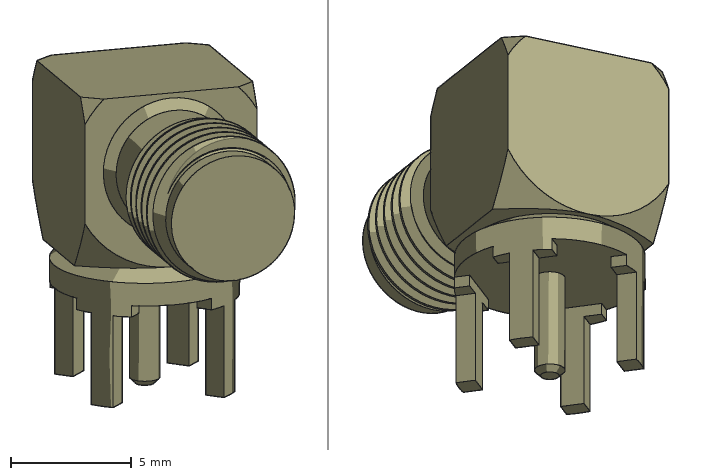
import cadquery as cq
import math


FLANGE_RADIUS = 7.92 / 2
FLANGE_TOP_RADIUS = 3.15
FLANGE_RIM_HEIGHT = 0.98
FLANGE_TAPER_HEIGHT = 0.53

LEG_ANGLES = (45, 135, 225, 315)
LEG_INNER_DISTANCE = 3.08
LEG_WIDTH = 1.02
LEG_LENGTH = 3.96
STANDOFF_WIDTH = 2.56
STANDOFF_HEIGHT = 0.49

PIN_RADIUS = 1.27 / 2
PIN_CHAMFER = 0.25

BODY_LENGTH = 6.97
BODY_WIDTH = 7.52
BODY_HEIGHT = 7.5

THREAD_RADIUS = 6.35 / 2
THREAD_PITCH = 25.4 / 36
THREAD_DEPTH = 0.4
CREST_FLAT = 0.11
FLANK_ANGLE = 30
GROOVE_OVERSHOOT = 0.03
GROOVE_RUNOUT = 0.17
NECK_RADIUS = 5.08 / 2
NOSE_RADIUS = 5.38 / 2
COLLAR_LENGTH = 0.42
BARREL_END_X = 11.69
THREAD_START_X = 6.50
THREAD_END_X = 10.92
CREST_TOP_X = 7.595

FLANGE_BOTTOM_Z = STANDOFF_HEIGHT
FLANGE_RIM_Z = FLANGE_BOTTOM_Z + FLANGE_RIM_HEIGHT
BODY_BOTTOM_Z = FLANGE_RIM_Z + FLANGE_TAPER_HEIGHT
BODY_TOP_Z = BODY_BOTTOM_Z + BODY_HEIGHT
BARREL_Z = BODY_TOP_Z - THREAD_RADIUS
BODY_FACE_X = BODY_LENGTH / 2


def revolve_about_barrel(outline):
    """Revolve (x, radius) points about the barrel axis."""
    profile = cq.Workplane("XZ", origin=(0, 0, BARREL_Z)).polyline(outline).close()
    return profile.revolve(360, (0, 0, 0), (1, 0, 0))


def make_body():
    """Block whose corners are turned off by 45 degree cones about the barrel axis."""
    block = cq.Workplane("XY", origin=(0, 0, BODY_BOTTOM_Z)).box(
        BODY_LENGTH, BODY_WIDTH, BODY_HEIGHT, centered=(True, True, False)
    )
    face_radius = BARREL_Z - BODY_BOTTOM_Z
    middle_radius = face_radius + BODY_FACE_X
    turned_envelope = revolve_about_barrel(
        [
            (-BODY_FACE_X, 0),
            (-BODY_FACE_X, face_radius),
            (0, middle_radius),
            (BODY_FACE_X, face_radius),
            (BODY_FACE_X, 0),
        ]
    )
    return block.intersect(turned_envelope)


def make_flange():
    """Round flange that tapers up to the underside of the body."""
    outline = [
        (0, FLANGE_BOTTOM_Z),
        (FLANGE_RADIUS, FLANGE_BOTTOM_Z),
        (FLANGE_RADIUS, FLANGE_RIM_Z),
        (FLANGE_TOP_RADIUS, BODY_BOTTOM_Z),
        (0, BODY_BOTTOM_Z),
    ]
    return cq.Workplane("XZ").polyline(outline).close().revolve(360, (0, 0, 0), (0, 1, 0))


def make_diagonal_post(angle, width, bottom_z):
    """Post from the flange underside, flat inside and following the flange rim outside."""
    height = FLANGE_BOTTOM_Z - bottom_z
    radial_bar = (
        cq.Workplane("XY", origin=(0, 0, bottom_z))
        .center(LEG_INNER_DISTANCE, 0)
        .box(FLANGE_RADIUS, width, height, centered=(False, True, False))
        .rotate((0, 0, 0), (0, 0, 1), angle)
    )
    rim = cq.Workplane("XY", origin=(0, 0, bottom_z)).circle(FLANGE_RADIUS).extrude(height)
    return radial_bar.intersect(rim)


def make_pin():
    """Centre pin with a chamfered tip, level with the ends of the legs."""
    pin = cq.Workplane("XY", origin=(0, 0, -LEG_LENGTH)).circle(PIN_RADIUS)
    return pin.extrude(LEG_LENGTH + FLANGE_BOTTOM_Z).faces("<Z").chamfer(PIN_CHAMFER)


def make_thread_groove():
    """Right-hand helical groove that runs out past both ends of the threaded length."""
    root_radius = THREAD_RADIUS - THREAD_DEPTH
    outer_radius = THREAD_RADIUS + GROOVE_OVERSHOOT
    flank_slope = math.tan(math.radians(FLANK_ANGLE))
    half_mouth = (THREAD_PITCH - CREST_FLAT) / 2
    half_root = half_mouth - THREAD_DEPTH * flank_slope
    half_outer = half_mouth + GROOVE_OVERSHOOT * flank_slope

    turns_before = math.ceil((CREST_TOP_X - THREAD_START_X) / THREAD_PITCH)
    start_x = CREST_TOP_X - (turns_before + 0.5) * THREAD_PITCH
    length = THREAD_END_X + GROOVE_RUNOUT - start_x

    section = [
        (root_radius, -half_root),
        (outer_radius, -half_outer),
        (outer_radius, half_outer),
        (root_radius, half_root),
    ]
    edges = [
        cq.Wire.makeHelix(THREAD_PITCH, length, radius).translate(cq.Vector(0, 0, offset))
        for radius, offset in section
    ]
    faces = [cq.Face.makeRuledSurface(edges[i - 1], edges[i]) for i in range(len(edges))]
    for end_points in (
        [edge.startPoint() for edge in edges],
        [edge.endPoint() for edge in edges],
    ):
        faces.append(cq.Face.makeFromWires(cq.Wire.makePolygon(end_points, close=True)))
    groove = cq.Workplane(obj=cq.Solid.makeSolid(cq.Shell.makeShell(faces)))

    laid_over = groove.rotate((0, 0, 0), (0, 1, 0), 90).rotate((0, 0, 0), (1, 0, 0), 180)
    return laid_over.translate((start_x, 0, BARREL_Z))


def make_barrel():
    """Neck, threaded length with 45 degree ends, and plain nose."""
    start_chamfer = THREAD_RADIUS - NECK_RADIUS
    end_chamfer = THREAD_RADIUS - NOSE_RADIUS
    barrel = revolve_about_barrel(
        [
            (0, 0),
            (0, NECK_RADIUS + COLLAR_LENGTH),
            (BODY_FACE_X, NECK_RADIUS + COLLAR_LENGTH),
            (BODY_FACE_X + COLLAR_LENGTH, NECK_RADIUS),
            (THREAD_START_X, NECK_RADIUS),
            (THREAD_START_X + start_chamfer, THREAD_RADIUS),
            (THREAD_END_X - end_chamfer, THREAD_RADIUS),
            (THREAD_END_X, NOSE_RADIUS),
            (BARREL_END_X, NOSE_RADIUS),
            (BARREL_END_X, 0),
        ]
    )
    return barrel.cut(make_thread_groove())


result = make_barrel().union(make_body()).union(make_flange()).union(make_pin())
for leg_angle in LEG_ANGLES:
    result = result.union(make_diagonal_post(leg_angle, STANDOFF_WIDTH, 0))
    result = result.union(make_diagonal_post(leg_angle, LEG_WIDTH, -LEG_LENGTH))